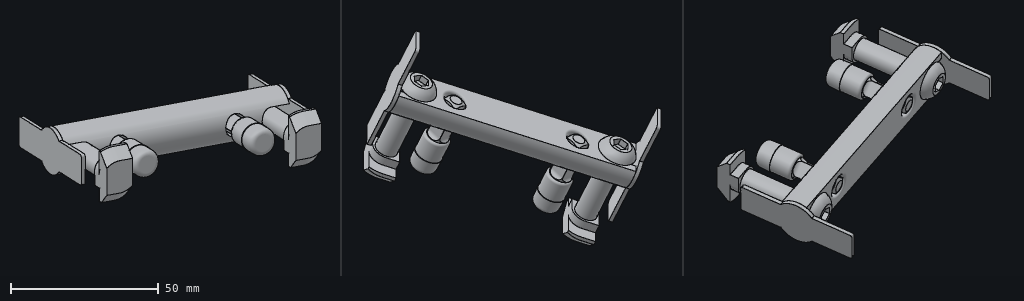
import cadquery as cq
import math

overall_length = 90.0
overall_width = 56.25

plate_thickness = 1.5
bar_radius = 8.4
ear_span = 44.55
ear_height = 11.2
ear_corner_radius = 1.0

flat_x = -3.15
bore_diameter = 8.2
bore_fillet = 1.0
plunger_y = 22.5
bolt_y = 36.5

dome_radius = 6.9
dome_top_radius = 4.05
dome_height = 3.3
dome_mid_radius = 5.85
dome_mid_height = 2.0
socket_across_flats = 5.0
socket_depth = 2.4
hammer_width = 10.0
hammer_length = 19.6
neck_length = 3.3
lip_thickness = 1.4
hammer_slope = 4.0

tip_radius = 2.2
tip_length = 1.1
shank_across_flats = 5.85
flats_end_x = 11.4
sleeve_start_x = 13.3
sleeve_radius = 5.0
sleeve_fillet = 1.0
ridge_x = 21.5
ridge_radius = 5.2
nose_start_x = 26.0
nose_radius = 1.9

sides = (-1, 1)
bar_length = overall_length - 2 * plate_thickness
bore_radius = bore_diameter / 2
hammer_radius = hammer_length / 2
hammer_end_x = overall_width - ear_span / 2
hammer_base_x = hammer_end_x - hammer_slope - lip_thickness
neck_start_x = hammer_base_x - neck_length
slope_start_x = hammer_end_x - hammer_slope
nose_end_x = nose_start_x + nose_radius
half_turn = 180
quarter_turn = 90
cos45 = math.sqrt(0.5)


def block(x_range, y_range, z_range):
    """Axis-aligned box between the given limits."""
    size = [high - low for low, high in (x_range, y_range, z_range)]
    return (
        cq.Workplane("XY")
        .box(*size, centered=False)
        .translate((x_range[0], y_range[0], z_range[0]))
    )


def rod_along_x(radius, x_start, x_end, y=0.0):
    """Cylinder parallel to X."""
    return cq.Workplane("YZ", origin=(x_start, y, 0)).circle(radius).extrude(x_end - x_start)


def rod_along_y(radius, length):
    """Cylinder on the Y axis, centred on the origin."""
    return cq.Workplane("XZ").circle(radius).extrude(length / 2, both=True)


def slot_cutter(side):
    """Bolt slot that runs from the bolt axis out through the end of the bar."""
    y_limits = sorted((side * bolt_y, side * overall_length / 2))
    x_limits = (flat_x, bar_radius)
    channel = block(x_limits, y_limits, (-bore_radius, bore_radius))
    return channel.union(rod_along_x(bore_radius, *x_limits, y=side * bolt_y))


def make_bar():
    bar = rod_along_y(bar_radius, bar_length)
    bar = bar.intersect(
        block((flat_x, bar_radius), (-overall_length, overall_length), (-bar_radius, bar_radius))
    )
    for side in sides:
        bar = bar.cut(slot_cutter(side))
        bar = bar.cut(rod_along_x(bore_radius, flat_x, bar_radius, y=side * plunger_y))
    rim_x = flat_x + bore_fillet
    rim_y = (bar_length - bore_fillet) / 2
    rim_z = bore_radius + bore_fillet
    rim_zone = cq.selectors.BoxSelector((-bar_radius, -rim_y, -rim_z), (rim_x, rim_y, rim_z))
    return bar.faces("<X").edges(rim_zone).fillet(bore_fillet)


def make_plate(side):
    ears = block(
        (-ear_span / 2, ear_span / 2),
        (-plate_thickness / 2, plate_thickness / 2),
        (-ear_height / 2, ear_height / 2),
    ).edges("|Y").fillet(ear_corner_radius)
    plate = ears.union(rod_along_y(bar_radius, plate_thickness))
    return plate.translate((0, side * (bar_length + plate_thickness) / 2, 0))


def make_dome_head():
    top_x = flat_x - dome_height
    dome = (
        cq.Workplane("XZ")
        .moveTo(flat_x, 0)
        .lineTo(flat_x, dome_radius)
        .threePointArc((flat_x - dome_mid_height, dome_mid_radius), (top_x, dome_top_radius))
        .lineTo(top_x, 0)
        .close()
        .revolve(2 * half_turn, (0, 0, 0), (1, 0, 0))
    )
    socket = (
        cq.Workplane("YZ", origin=(top_x, 0, 0))
        .polygon(6, socket_across_flats / math.cos(math.pi / 6))
        .extrude(socket_depth)
        .rotate((0, 0, 0), (1, 0, 0), quarter_turn)
    )
    return dome.cut(socket)


def make_hammer_half():
    """Half of the hammer head and its neck above Z = 0, rounded on the -Y side only."""
    half_width = hammer_width / 2
    slope_end_z = hammer_radius - hammer_slope
    neck = block((neck_start_x, hammer_base_x), (-half_width, half_width), (0, half_width))
    head = (
        cq.Workplane("XZ")
        .moveTo(hammer_base_x, 0)
        .lineTo(hammer_base_x, hammer_radius)
        .lineTo(slope_start_x, hammer_radius)
        .lineTo(hammer_end_x, slope_end_z)
        .lineTo(hammer_end_x, 0)
        .close()
        .extrude(half_width, both=True)
    )
    rounded_side = block((neck_start_x, hammer_end_x), (-half_width, 0), (0, hammer_radius))
    square_side = rounded_side.translate((0, half_width, 0))

    slope_axis = cq.Plane(
        origin=(slope_start_x - hammer_radius * cos45, 0, hammer_radius * (1 - cos45)),
        xDir=(0, 1, 0),
        normal=(1, 0, -1),
    )
    slope_rounding = cq.Workplane(slope_axis).circle(hammer_radius).extrude(hammer_length, both=True)
    tip_rounding = rod_along_x(hammer_radius, neck_start_x, hammer_end_x)
    neck_rounding = rod_along_x(half_width, neck_start_x, hammer_base_x)

    rounded_head = head.intersect(rounded_side).intersect(tip_rounding).intersect(slope_rounding)
    rounded_neck = neck.intersect(rounded_side).intersect(neck_rounding)
    square_half = head.union(neck).intersect(square_side)
    return square_half.union(rounded_head).union(rounded_neck)


def make_bolt(side):
    upper_half = make_hammer_half()
    lower_half = upper_half.rotate((0, 0, 0), (1, 0, 0), half_turn)
    shaft = rod_along_x(bore_radius, flat_x, neck_start_x)
    bolt = make_dome_head().union(shaft).union(upper_half).union(lower_half)
    return bolt.translate((0, side * bolt_y, 0))


def make_plunger(side):
    fillet_mid = sleeve_fillet * (1 - cos45)
    nose_mid = nose_radius * cos45
    nose_face_radius = sleeve_radius - nose_radius
    plunger = (
        cq.Workplane("XZ")
        .moveTo(flat_x, 0)
        .lineTo(flat_x, tip_radius)
        .lineTo(flat_x + tip_length, bore_radius)
        .lineTo(sleeve_start_x, bore_radius)
        .lineTo(sleeve_start_x, sleeve_radius - sleeve_fillet)
        .threePointArc(
            (sleeve_start_x + fillet_mid, sleeve_radius - fillet_mid),
            (sleeve_start_x + sleeve_fillet, sleeve_radius),
        )
        .lineTo(ridge_x, sleeve_radius)
        .lineTo(ridge_x, ridge_radius)
        .lineTo(nose_start_x, sleeve_radius)
        .threePointArc(
            (nose_start_x + nose_mid, nose_face_radius + nose_mid),
            (nose_end_x, nose_face_radius),
        )
        .lineTo(nose_end_x, 0)
        .close()
        .revolve(2 * half_turn, (0, 0, 0), (1, 0, 0))
    )
    flat_z = shank_across_flats / 2
    runout_radius = sleeve_start_x - flats_end_x
    flat_cutter = (
        cq.Workplane("XZ")
        .moveTo(flat_x, flat_z)
        .lineTo(flats_end_x, flat_z)
        .threePointArc(
            (flats_end_x + runout_radius * cos45, flat_z + runout_radius * (1 - cos45)),
            (sleeve_start_x, flat_z + runout_radius),
        )
        .lineTo(flat_x, flat_z + runout_radius)
        .close()
        .extrude(bore_radius, both=True)
    )
    for corner in range(4):
        angle = (corner + 0.5) * quarter_turn
        plunger = plunger.cut(flat_cutter.rotate((0, 0, 0), (1, 0, 0), angle))
    return plunger.translate((0, side * plunger_y, 0))


bar = make_bar()
plates = [make_plate(side).val() for side in sides]
bolts = [make_bolt(side).val() for side in sides]
plungers = [make_plunger(side).val() for side in sides]

result = cq.Compound.makeCompound([bar.val(), *plates, *bolts, *plungers])